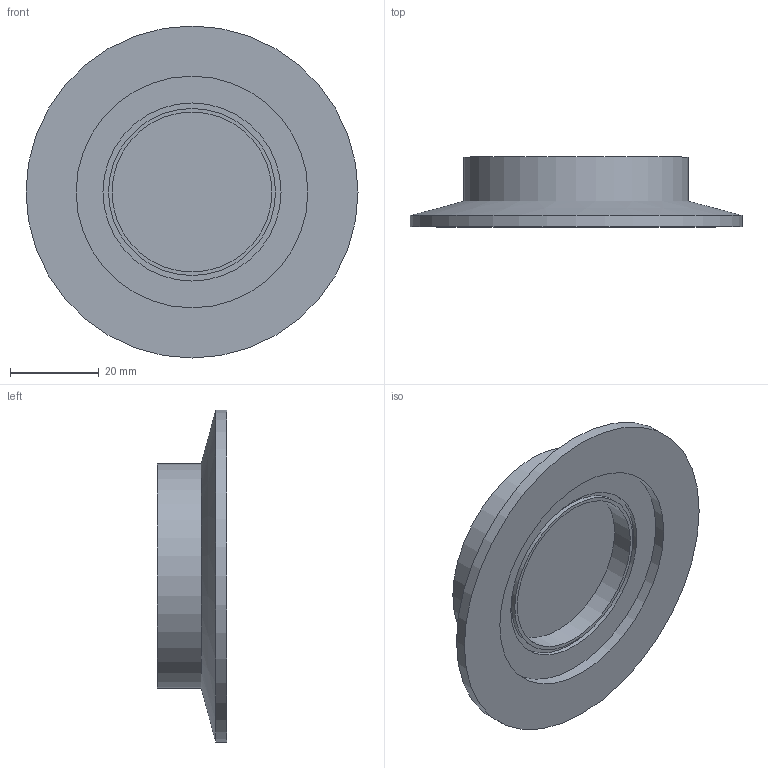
import cadquery as cq
import math

flange_radius = 74.93 / 2
total_length = 15.75
rim_thickness = 2.54
hub_radius = 50.8 / 2
taper_angle = 15.0

recess_radius = 52.3 / 2
recess_depth = 2.54
groove_outer_radius = 40.2 / 2
groove_inner_radius = 37.7 / 2
groove_depth = 1.016
pocket_radius = 36.1 / 2
pocket_depth = 7.56


def flange_body():
    """Solid of revolution: straight rim, tapered back and cylindrical hub."""
    taper_length = (flange_radius - hub_radius) * math.tan(math.radians(taper_angle))
    half_section = (
        cq.Workplane("XY")
        .moveTo(0, 0)
        .lineTo(flange_radius, 0)
        .lineTo(flange_radius, rim_thickness)
        .lineTo(hub_radius, rim_thickness + taper_length)
        .lineTo(hub_radius, total_length)
        .lineTo(0, total_length)
        .close()
    )
    return half_section.revolve(360, (0, 0, 0), (0, 1, 0))


def disc(radius, start, end):
    """Cylinder on the Y axis between two Y positions."""
    face = cq.Workplane("XZ", origin=(0, start, 0)).circle(radius)
    return face.extrude(start - end)


def ring(outer_radius, inner_radius, start, end):
    """Tube on the Y axis between two Y positions."""
    return disc(outer_radius, start, end).cut(disc(inner_radius, start, end))


groove_floor = recess_depth + groove_depth

result = (
    flange_body()
    .cut(disc(recess_radius, 0, recess_depth))
    .cut(disc(pocket_radius, 0, pocket_depth))
    .cut(ring(groove_outer_radius, groove_inner_radius, recess_depth, groove_floor))
)